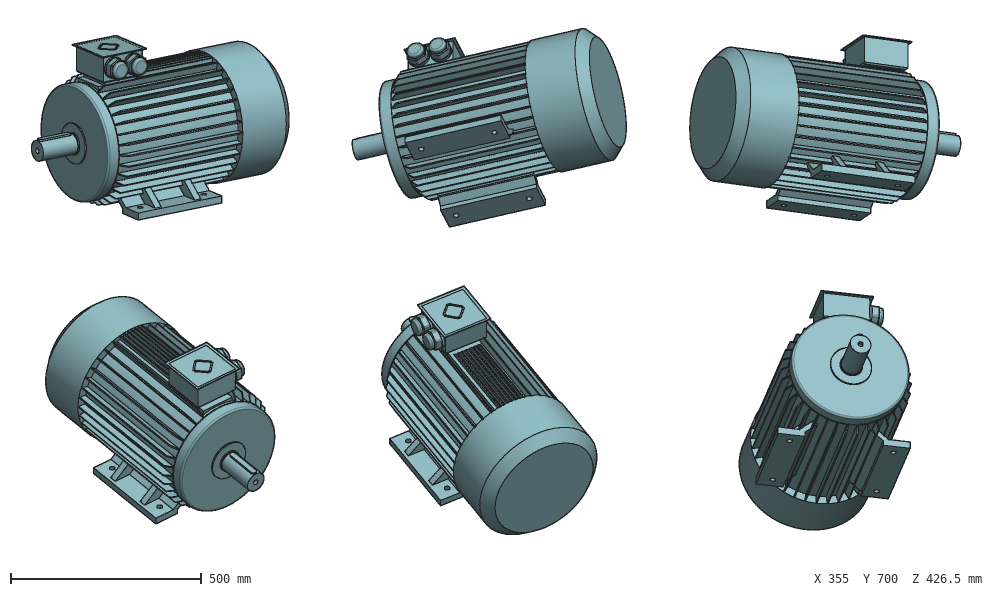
import cadquery as cq
import math


total_length = 700.0
shaft_length = 110.0
step_length = 4.0
shield_front = shaft_length + 2 * step_length
shield_back = 152.5
shield_rounding = 5.0
cowl_length = 168.0
cowl_front = total_length - cowl_length
cowl_chamfer = 29.5

shaft_radius = 55.0 / 2
collar_radius = 60.0 / 2
boss_radius = 110.0 / 2
shield_radius = 315.0 / 2
body_radius = 310.0 / 2
fin_radius = 174.0
cowl_radius = 355.0 / 2

key_width = 16.0
key_length = 103.5
key_tip_gap = 2.0
key_top = 31.5
centre_hole_radius = 14.0 / 2
centre_hole_depth = 17.5

fin_thickness = 3.5
fin_pitch_angle = 10
fin_front = 157.0
fin_bevel = 15.5
fin_root_radius = body_radius - 7.0
top_gap_half_angle = 15

pad_half_width = 47.5
pad_front = 162.5
pad_top = 159.5
pad_root = 126.0
upright_fin_pitch = 12.0
upright_fins_each_side = 3
upright_fin_front = 292.0

box_y = 229.5
neck_side = 96.0
box_side = 124.5
box_bottom = 171.0
box_chamfer = 4.0
lid_side = 141.0
lid_thickness = 2.0
lid_top = 246.5

frame_y = 227.0
frame_side = 48.0
frame_width = 4.0
frame_corner = 6.0
frame_depth = 1.5

gland_spacing = 61.5
gland_z = 210.0
washer_radius = 57.0 / 2
washer_length = 7.0
nut_radius = 60.0 / 2
nut_length = 21.0
nut_edge_rounding = 5.5
nut_chamfer = 3.0
cap_radius = 47.0 / 2
cap_length = 12.0
cap_rounding = 6.0

foot_bottom = -180.0
foot_thickness = 19.5
foot_top = foot_bottom + foot_thickness
foot_outer = 355.0 / 2
foot_inner = 105.0
foot_front = 199.0
foot_length = 267.0
web_angle = math.radians(40)
web_top_start = 120.0
web_bottom_start = foot_bottom + 13.0
web_length = 56.0
rib_start = 167.0
rib_length = 84.0
rib_thickness = 19.5
rib_fronts = (260.0, 386.0)
foot_hole_radius = 15.0 / 2
foot_hole_x = 139.0
foot_hole_ys = (231.0, 434.0)


def prism_along_y(points, y_start, y_end):
    """Extrude an (x, z) outline from y_start to y_end."""
    plane = cq.Workplane("XZ", origin=(0, y_start, 0))
    return plane.polyline(points).close().extrude(y_start - y_end)


def block(x_size, y_size, z_bottom, z_top, y_centre):
    """Rectangular block centred on X = 0."""
    base = cq.Workplane("XY", origin=(0, y_centre, z_bottom))
    return base.rect(x_size, y_size).extrude(z_top - z_bottom)


def make_core():
    """Shaft, end shield, body barrel and fan cowl as one turned shape."""
    boss_front = shaft_length + step_length
    shaft_steps = [
        (0, 0),
        (shaft_radius, 0),
        (shaft_radius, shaft_length),
        (collar_radius, shaft_length),
        (collar_radius, boss_front),
        (boss_radius, boss_front),
        (boss_radius, shield_front),
        (shield_radius - shield_rounding, shield_front),
    ]
    body_and_cowl = [
        (shield_radius, shield_back),
        (body_radius, shield_back),
        (body_radius, cowl_front),
        (cowl_radius, cowl_front),
        (cowl_radius, total_length - cowl_chamfer),
        (cowl_radius - cowl_chamfer, total_length),
        (0, total_length),
    ]
    outline = cq.Workplane("XY").polyline(shaft_steps)
    outline = outline.radiusArc((shield_radius, shield_front + shield_rounding), -shield_rounding)
    for point in body_and_cowl:
        outline = outline.lineTo(*point)
    return outline.close().revolve(360, (0, 0, 0), (0, 1, 0))


def make_key():
    """Feather key with round ends, standing proud of the shaft."""
    base = cq.Workplane("XY", origin=(0, key_tip_gap + key_length / 2, 0))
    return base.slot2D(key_length, key_width, 90).extrude(key_top)


def make_centre_hole():
    """Drilled hole with a conical bottom in the shaft end."""
    profile = [
        (0, 0),
        (centre_hole_radius, 0),
        (centre_hole_radius, centre_hole_depth - centre_hole_radius),
        (0, centre_hole_depth),
    ]
    outline = cq.Workplane("XY").polyline(profile).close()
    return outline.revolve(360, (0, 0, 0), (0, 1, 0))


def make_radial_fins():
    """Ring of fins with bevelled front ends, left open under the terminal box."""
    outline = [
        (fin_root_radius, fin_front),
        (fin_radius - fin_bevel, fin_front),
        (fin_radius, fin_front + fin_bevel),
        (fin_radius, cowl_front),
        (fin_root_radius, cowl_front),
    ]
    fin = cq.Workplane("XY").polyline(outline).close().extrude(fin_thickness / 2, both=True)
    fins = cq.Workplane("XY")
    for angle in range(0, 360, fin_pitch_angle):
        if abs(angle - 90) > top_gap_half_angle:
            fins = fins.add(fin.rotate((0, 0, 0), (0, 1, 0), -angle))
    return fins.vals()


def make_pad():
    """Flat pad along the top of the body."""
    pad_length = cowl_front - pad_front
    pad_y = pad_front + pad_length / 2
    return block(2 * pad_half_width, pad_length, pad_root, pad_top, pad_y)


def make_upright_fins():
    """Parallel fins on the pad, with tops following the radial fin circle."""
    rise = fin_radius - pad_top
    outline = [
        (upright_fin_front, pad_root),
        (upright_fin_front, pad_top),
        (upright_fin_front + rise, fin_radius),
        (cowl_front, fin_radius),
        (cowl_front, pad_root),
    ]
    fin = cq.Workplane("YZ").polyline(outline).close().extrude(fin_thickness / 2, both=True)
    envelope = cq.Workplane("XZ").circle(fin_radius).extrude(-total_length)
    fins = []
    for index in range(-upright_fins_each_side, upright_fins_each_side + 1):
        placed = fin.translate((index * upright_fin_pitch, 0, 0))
        fins.append(placed.intersect(envelope).val())
    return fins


def make_terminal_box():
    """Neck, box with bevelled bottom edges, and overhanging lid with a diamond groove."""
    lid_bottom = lid_top - lid_thickness
    neck = block(neck_side, neck_side, pad_root, box_bottom, box_y)
    housing = block(box_side, box_side, box_bottom, lid_bottom, box_y)
    housing = housing.faces("<Z").edges().chamfer(box_chamfer)
    lid = block(lid_side, lid_side, lid_bottom, lid_top, box_y)
    return neck.union(housing).union(lid).cut(make_frame_groove())


def make_frame_groove():
    """Square ring with cut corners, turned to stand on one corner."""
    floor = lid_top - frame_depth
    inner_side = frame_side - 2 * frame_width
    outer = block(frame_side, frame_side, floor, lid_top, 0)
    outer = outer.edges("|Z").chamfer(frame_corner)
    inner = block(inner_side, inner_side, floor, lid_top, 0)
    inner = inner.edges("|Z").chamfer(frame_corner - frame_width / 2)
    ring = outer.cut(inner)
    return ring.rotate((0, 0, 0), (0, 0, 1), 45).translate((0, frame_y, 0))


def make_gland(y):
    """Cable gland: washer, hexagon nut with rounded edges and bevelled end, and rounded cap."""
    washer_start = box_side / 2
    nut_start = washer_start + washer_length
    nut_end = nut_start + nut_length

    def disc_plane(x):
        return cq.Workplane("YZ", origin=(x, y, gland_z))

    washer = disc_plane(washer_start).circle(washer_radius).extrude(washer_length)
    nut = disc_plane(nut_start).transformed(rotate=(0, 0, 90))
    nut = nut.polygon(6, 2 * nut_radius).extrude(nut_length)
    nut = nut.edges("|X").fillet(nut_edge_rounding)
    nut = nut.faces(">X").edges().chamfer(nut_chamfer)
    cap = disc_plane(nut_end).circle(cap_radius).extrude(cap_length)
    cap = cap.faces(">X").edges().fillet(cap_rounding)
    return washer.union(nut).union(cap)


def along_web(x, z, length):
    """Point reached from (x, z) by going up the slope of the web towards the body."""
    return (x - length * math.cos(web_angle), z + length * math.sin(web_angle))


def make_foot():
    """Foot on the +X side: base plate, sloping web, two ribs and two bolt holes."""
    web_top_end = along_web(web_top_start, foot_top, web_length)
    outline = [
        (foot_outer, foot_bottom),
        (foot_outer, foot_top),
        (web_top_start, foot_top),
        web_top_end,
        along_web(foot_inner, web_bottom_start, web_length),
        (foot_inner, web_bottom_start),
        (foot_inner, foot_bottom),
    ]
    foot = prism_along_y(outline, foot_front, foot_front + foot_length)
    rib_outline = [
        (rib_start, foot_top),
        along_web(rib_start, foot_top, rib_length),
        web_top_end,
        (web_top_start, foot_top),
    ]
    for rib_front in rib_fronts:
        foot = foot.union(prism_along_y(rib_outline, rib_front, rib_front + rib_thickness))
    hole_centres = [(foot_hole_x, y) for y in foot_hole_ys]
    holes = cq.Workplane("XY", origin=(0, 0, foot_bottom)).pushPoints(hole_centres)
    return foot.cut(holes.circle(foot_hole_radius).extrude(foot_thickness))


motor = make_core().union(make_key()).cut(make_centre_hole())
motor = motor.union(make_pad())
for fin_solid in make_radial_fins() + make_upright_fins():
    motor = motor.union(cq.Workplane(fin_solid))
motor = motor.union(make_terminal_box())
for side in (-1, 1):
    motor = motor.union(make_gland(box_y + side * gland_spacing / 2))
right_foot = make_foot()
motor = motor.union(right_foot).union(right_foot.mirror("YZ"))

result = motor